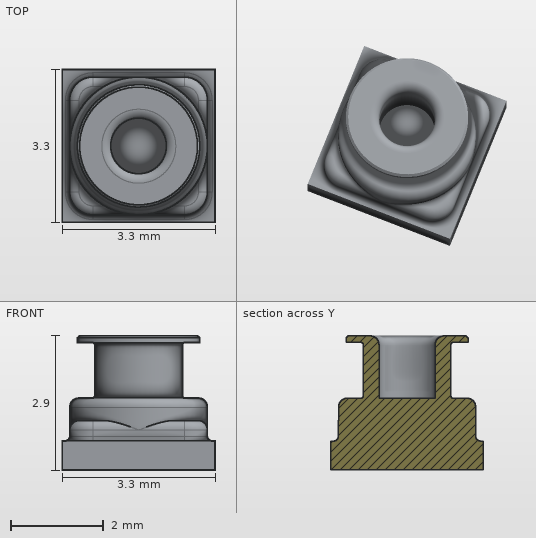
import cadquery as cq

base_side = 3.3
base_height = 0.635

housing_side = 2.97
housing_corner = 0.495
housing_height = 0.435
foot_fillet = 0.1
edge_round = 0.198

shoulder_radius = housing_side / 2
shoulder_top = 1.558
neck_radius = 0.95
neck_fillet = 0.04
flange_radius = 1.32
flange_thickness = 0.152
flange_chamfer = 0.05
total_height = 2.9

bore_radius = 0.6
mouth_round = 0.198
bore_floor = shoulder_top

flange_bottom = total_height - flange_thickness


def make_base():
    """Plain square plate."""
    return cq.Workplane("XY").box(base_side, base_side, base_height, centered=(True, True, False))


def make_housing():
    """Rounded square block with rounded top edges."""
    block = (
        cq.Workplane("XY")
        .workplane(offset=base_height)
        .rect(housing_side, housing_side)
        .extrude(housing_height)
        .edges("|Z")
        .fillet(housing_corner)
    )
    return block.faces(">Z").edges().fillet(edge_round)


def make_port():
    """Shoulder, neck and flange, revolved with their small rounds."""
    port = (
        cq.Workplane("XY")
        .workplane(offset=base_height)
        .circle(shoulder_radius)
        .extrude(shoulder_top - base_height)
        .faces(">Z")
        .edges()
        .fillet(edge_round)
    )
    neck_outline = (
        cq.Workplane("XZ")
        .moveTo(0, shoulder_top)
        .lineTo(neck_radius + neck_fillet, shoulder_top)
        .radiusArc((neck_radius, shoulder_top + neck_fillet), neck_fillet)
        .lineTo(neck_radius, flange_bottom - neck_fillet)
        .radiusArc((neck_radius + neck_fillet, flange_bottom), neck_fillet)
        .lineTo(flange_radius, flange_bottom)
        .lineTo(flange_radius, total_height - flange_chamfer)
        .lineTo(flange_radius - flange_chamfer, total_height)
        .lineTo(0, total_height)
        .close()
    )
    return port.union(neck_outline.revolve(360, (0, 0, 0), (0, 1, 0)))


def make_bore():
    """Cutting body of the bore, flared at the mouth."""
    return (
        cq.Workplane("XZ")
        .moveTo(0, bore_floor)
        .lineTo(bore_radius, bore_floor)
        .lineTo(bore_radius, total_height - mouth_round)
        .radiusArc((bore_radius + mouth_round, total_height), mouth_round)
        .lineTo(0, total_height)
        .close()
        .revolve(360, (0, 0, 0), (0, 1, 0))
    )


def make_plinth():
    """Base and housing, joined by a concave fillet at the foot of the housing walls."""
    plinth = make_base().union(make_housing())
    half_reach = (base_side + housing_side) / 4
    half_slab = foot_fillet / 2
    foot_edges = cq.selectors.BoxSelector(
        (-half_reach, -half_reach, base_height - half_slab),
        (half_reach, half_reach, base_height + half_slab),
    )
    return plinth.edges(foot_edges).fillet(foot_fillet)


result = make_plinth().union(make_port()).cut(make_bore())